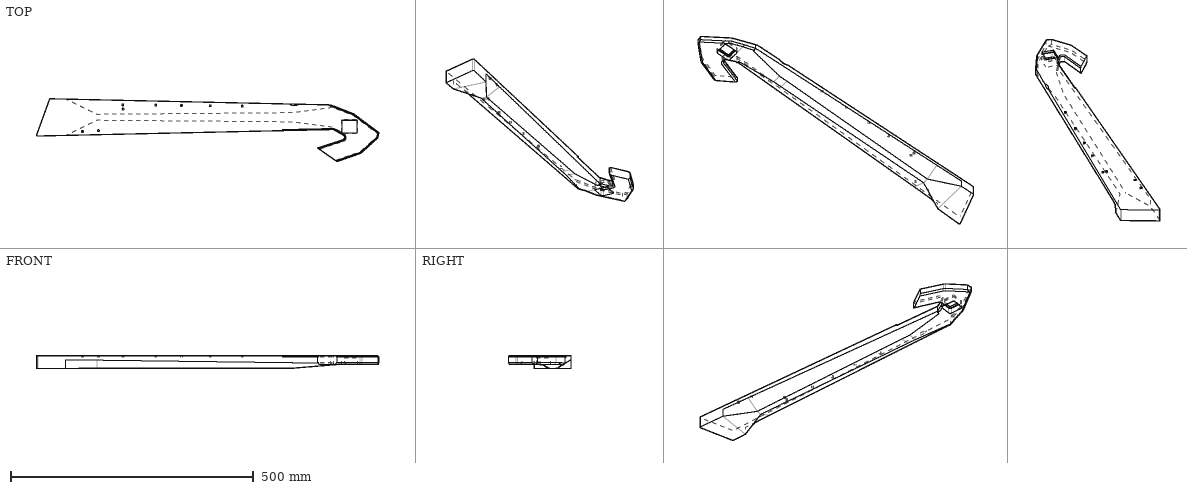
import cadquery as cq
import math


butt_half_width = 38.98
edge_taper = 0.02193
butt_x = -1.05
butt_skew = 27.0
butt_corner_radius = 2.4
depth = 26.67

heel_end = 60.0
flank_start = 125.0
nut_x = 507.0
edge_depth_at_heel = 8.4
edge_depth_at_nut = 14.3
flank_angle_at_heel = 28.5
flank_angle_at_nut = 33.0
back_depth = 26.08

volute_x = 527.0
volute_depth = 26.2
head_start_x = 629.0
head_depth = 17.7
tip_x = 705.71
throat_radius = 5.4
head_corner_radius = 12.0
top_chamfer = 2.4
bottom_chamfer = 3.5
far_shoulder_x = 606.0
near_shoulder_x = 612.0
far_bend = (654.0, 7.0)
tip_far = (tip_x, -31.5)
tip_near = (tip_x - 2.0, -42.5)
hook_bend = (668.6, -74.4)
hook_heel = (619.4, -91.5)
hook_point = (578.8, -63.3)
throat = (642.8, -42.7)

window_length = 30.0
window_width = 25.6
window_center = (645.0, -19.2)
window_lip = 5.0
window_undercut = 1.5
window_corner_radius = 4.0

marker_diameter = 3.81
marker_depth = 3.0
marker_centers = (
    (94.5, -29.3),
    (127.5, -27.6),
    (177.5, 25.5),
    (178.5, 17.0),
    (245.7, 25.0),
    (298.6, 24.4),
    (358.0, 23.6),
    (424.0, 22.9),
)

scoop_x = 531.5
scoop_length = 21.0
scoop_depth = 3.3

heel_inset = 0.01
margin = 20.0
tolerance = 0.01
reach = 400.0


def half_width(x):
    return butt_half_width - edge_taper * x


def edge_depth(x):
    fraction = (x - heel_end) / (nut_x - heel_end)
    return edge_depth_at_heel + fraction * (edge_depth_at_nut - edge_depth_at_heel)


def flank_angle(x):
    fraction = (x - heel_end) / (nut_x - heel_end)
    return math.radians(flank_angle_at_heel + fraction * (flank_angle_at_nut - flank_angle_at_heel))


def near(edge, x, y):
    """Whether an upright edge stands at (x, y)."""
    center = edge.Center()
    return math.hypot(center.x - x, center.y - y) < tolerance


def blank():
    near_butt = (butt_x, -half_width(butt_x))
    far_butt = (butt_skew, half_width(butt_skew))
    body = (
        cq.Workplane("XY")
        .polyline([
            near_butt,
            (nut_x, -half_width(nut_x)),
            (near_shoulder_x, -half_width(near_shoulder_x)),
            throat,
            hook_point,
            hook_heel,
            hook_bend,
            tip_near,
            tip_far,
            far_bend,
            (far_shoulder_x, half_width(far_shoulder_x)),
            far_butt,
        ])
        .close()
        .extrude(-depth)
    )
    for radius, corners in (
        (butt_corner_radius, (near_butt, far_butt)),
        (throat_radius, (throat,)),
        (head_corner_radius, (hook_bend,)),
    ):
        upright = [e for e in body.edges("|Z").vals() if any(near(e, *c) for c in corners)]
        body = body.newObject(upright).fillet(radius)
    return body


def back_cutter():
    """Everything below the back profile of neck and head."""
    neck_back = (
        cq.Workplane("XZ", origin=(0, throat[1], 0))
        .polyline([
            (heel_end, -depth),
            (flank_start, -back_depth),
            (nut_x, -back_depth),
            (volute_x, -volute_depth),
            (head_start_x, -head_depth),
            (tip_x + margin, -head_depth),
            (tip_x + margin, -depth - margin),
            (heel_end, -depth - margin),
        ])
        .close()
        .extrude(-reach)
    )
    hook_back = (
        cq.Workplane("XY", origin=(nut_x + reach / 2, throat[1] - reach / 2, -head_depth - margin / 2))
        .box(reach, reach, margin)
    )
    return neck_back.union(hook_back)


def head_side_edges(head, top):
    """Top or bottom edges of the chamfered head sides: all but the cut planes, hook end and far edge."""
    edges = []
    for face in head.faces().vals():
        center = face.Center()
        is_level = abs(face.normalAt().z) > tolerance
        is_cut_plane = min(abs(center.x - nut_x), abs(center.x - head_start_x)) < tolerance
        is_hook_end = center.x < hook_heel[0] and center.y < hook_point[1]
        is_far_edge = center.x < far_shoulder_x and center.y > 0
        is_near_edge = center.x < near_shoulder_x and throat[1] < center.y < 0
        is_tip = center.x > tip_near[0]
        is_skipped = is_level or is_cut_plane or is_hook_end or is_far_edge
        is_skipped_below = is_near_edge or is_tip
        if is_skipped or (is_skipped_below and not top):
            continue
        for edge in face.Edges():
            box = edge.BoundingBox()
            is_upright = math.hypot(box.xlen, box.ylen) < tolerance
            at_level = box.zmin > -tolerance if top else box.zmax < tolerance - head_depth
            if at_level and not is_upright:
                edges.append(edge)
    return edges


def beyond(x):
    """Box holding everything with a larger X."""
    return cq.Workplane("XY").box(reach, reach, reach).translate((x + reach / 2, 0, 0))


def chamfered_head(head):
    """Head with both rims chamfered; the sloping and the level back are done apart and rejoined."""
    head = head.newObject(head_side_edges(head, top=True)).chamfer(top_chamfer)
    ramp_zone = (
        cq.Workplane("XY", origin=(head_start_x - reach / 2, throat[1] + reach / 2, 0))
        .box(reach, reach, reach)
    )
    ramp = head.intersect(ramp_zone)
    level = head.cut(ramp_zone)
    ramp = ramp.newObject(head_side_edges(ramp, top=False)).chamfer(bottom_chamfer)
    level = level.newObject(head_side_edges(level, top=False)).chamfer(bottom_chamfer)
    return ramp.union(level)


def flank_inset(x):
    """How far the flank runs in from the long edge before it reaches full depth."""
    if x <= heel_end:
        return heel_inset
    return (depth - edge_depth(x)) / math.tan(flank_angle(x))


def flank_section(x, side):
    edge_y = side * half_width(x)
    outside_y = edge_y + side * margin
    return cq.Wire.makePolygon(
        [
            cq.Vector(x, outside_y, -edge_depth(x)),
            cq.Vector(x, edge_y, -edge_depth(x)),
            cq.Vector(x, edge_y - side * flank_inset(x), -depth),
            cq.Vector(x, outside_y, -depth),
        ],
        close=True,
    )


def flank_cutter(x_from, x_to, side):
    """Wedge below the edge line on one side (1 far, -1 near) of the neck."""
    sections = [flank_section(x, side) for x in (x_from, x_to)]
    return cq.Workplane(obj=cq.Solid.makeLoft(sections, True))


def window_cutter():
    """Plain opening at the top, slightly wider with rounded corners below."""
    opening = cq.Workplane("XY").center(*window_center).rect(window_length, window_width).extrude(-depth)
    pocket = (
        cq.Workplane("XY", origin=(*window_center, -window_lip))
        .rect(window_length + 2 * window_undercut, window_width + 2 * window_undercut)
        .extrude(-depth)
        .edges("|Z")
        .fillet(window_corner_radius)
    )
    return opening.union(pocket)


def marker_cutter():
    return cq.Workplane("XY").pushPoints(marker_centers).circle(marker_diameter / 2).extrude(-marker_depth)


def scoop_cutter():
    """Upright cone whose flank cuts a shallow bowed bevel into the far top edge."""
    radius = (scoop_length**2 / 4 + scoop_depth**2) / (2 * scoop_depth)
    center_y = half_width(scoop_x) + radius - scoop_depth
    cone = cq.Solid.makeCone(radius, 0, radius, pnt=cq.Vector(0, 0, 0), dir=cq.Vector(0, 0, -1))
    return cq.Workplane(obj=cone.translate(cq.Vector(scoop_x, center_y, 0)))


shape = blank().cut(back_cutter())
neck = shape.cut(beyond(nut_x))
head = chamfered_head(shape.intersect(beyond(nut_x)))
result = neck.union(head)
for side, shoulder_x in ((-1, near_shoulder_x), (1, far_shoulder_x)):
    result = result.cut(flank_cutter(heel_end, flank_start, side))
    result = result.cut(flank_cutter(flank_start, shoulder_x, side))
result = result.cut(window_cutter()).cut(marker_cutter()).cut(scoop_cutter())